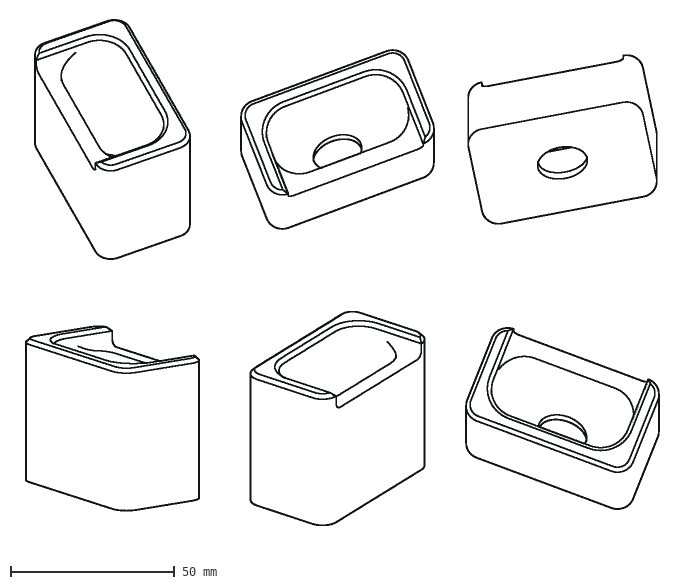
import cadquery as cq

length = 54.4
width = 31.25
height = 44.45
corner_radius = 5.15
edge_chamfer = 1.25
bevel_angle = 45.0

wall = 5.15
pocket_length = length - 2 * wall
pocket_width = width - 2 * wall
pocket_corner_radius = 8.9
bowl_clearance = 0.05
bowl_radius = pocket_corner_radius - bowl_clearance
floor_thickness = wall
pocket_depth = height - floor_thickness

notch_depth = 5.9
notch_fillet = 2.2

drain_length = 15.35
drain_width = 10.1


def make_block():
    block = cq.Workplane("XY").box(length, width, height, centered=(True, True, False))
    block = block.edges("|Z").fillet(corner_radius)
    return block.faces(">Z").edges().chamfer(edge_chamfer)


def make_pocket():
    pocket = cq.Workplane("XY").workplane(offset=floor_thickness)
    pocket = pocket.rect(pocket_length, pocket_width).extrude(pocket_depth)
    pocket = pocket.edges("|Z").fillet(pocket_corner_radius)
    return pocket.faces("<Z").edges().fillet(bowl_radius)


def make_pocket_bevel():
    """Frustum that widens the pocket mouth by the edge chamfer."""
    mouth = cq.Sketch().rect(pocket_length, pocket_width).vertices().fillet(pocket_corner_radius)
    bevel = cq.Workplane("XY").workplane(offset=height - edge_chamfer).placeSketch(mouth)
    return bevel.extrude(edge_chamfer, taper=-bevel_angle)


def make_notch():
    """Opening from the pocket centre line out through the front wall."""
    half_length = pocket_length / 2
    floor = height - notch_depth
    profile = (
        cq.Workplane("XZ")
        .moveTo(-half_length + notch_fillet, floor)
        .lineTo(half_length - notch_fillet, floor)
        .radiusArc((half_length, floor + notch_fillet), -notch_fillet)
        .lineTo(half_length, height - edge_chamfer)
        .lineTo(half_length + edge_chamfer, height)
        .lineTo(-half_length - edge_chamfer, height)
        .lineTo(-half_length, height - edge_chamfer)
        .lineTo(-half_length, floor + notch_fillet)
        .radiusArc((-half_length + notch_fillet, floor), -notch_fillet)
        .close()
    )
    return profile.extrude(width / 2)


def make_drain():
    return cq.Workplane("XY").ellipse(drain_length / 2, drain_width / 2).extrude(height)


result = (
    make_block()
    .cut(make_pocket())
    .cut(make_pocket_bevel())
    .cut(make_notch())
    .cut(make_drain())
)